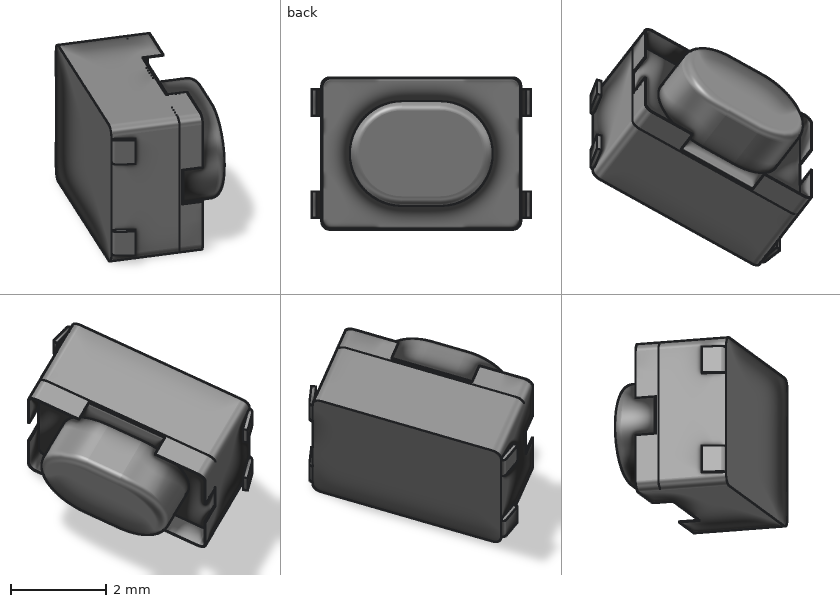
import cadquery as cq
import math

overall_width = 4.6
overall_depth = 2.7
housing_width = 4.2
housing_height = 3.2
housing_depth = 2.0
corner_radius = 0.2

button_width = 3.0
button_height = 2.2
button_rim_radius = 0.2

flange_thickness = 0.1
flange_edge_radius = 0.05
flange_rise = 0.05

wall_thickness = 0.025
notch_depth = 0.45
wide_notch_width = 1.8
side_notch_width = 0.8
notch_y = housing_depth - notch_depth

flange_top_y = notch_y + flange_rise
cavity_floor_y = flange_top_y - flange_thickness

terminal_thickness = 0.1
terminal_width = 0.555
terminal_spacing = 2.145
terminal_reach = 0.5
terminal_angle = math.radians(15)


def extrude_along_y(profile, start, end):
    """Extrude a closed XZ sketch from y = start to y = end."""
    return profile.extrude(start - end).translate((0, start, 0))


def rounded_block(width, height, radius, start, end):
    """Block along Y with its four long edges rounded."""
    outline = cq.Workplane("XZ").rect(width, height)
    return extrude_along_y(outline, start, end).edges("|Y").fillet(radius)


def cavity_block(start, end):
    """Block that fills the inside of the housing walls."""
    return rounded_block(
        housing_width - 2 * wall_thickness,
        housing_height - 2 * wall_thickness,
        corner_radius - wall_thickness,
        start,
        end,
    )


def notch_channel(width, height):
    """Channel across the housing that opens a notch in two opposite walls."""
    return extrude_along_y(cq.Workplane("XZ").rect(width, height), notch_y, housing_depth)


def make_housing():
    body = rounded_block(housing_width, housing_height, corner_radius, 0, housing_depth)
    body = body.cut(cavity_block(cavity_floor_y, housing_depth))
    body = body.cut(notch_channel(wide_notch_width, housing_height))
    return body.cut(notch_channel(housing_width, side_notch_width))


def make_button():
    flange = cavity_block(cavity_floor_y, flange_top_y).faces(">Y").edges().fillet(flange_edge_radius)
    stadium = cq.Workplane("XZ").slot2D(button_width, button_height)
    cap = extrude_along_y(stadium, flange_top_y, overall_depth)
    cap = cap.faces(">Y").edges().fillet(button_rim_radius)
    return flange.union(cap)


def make_terminal(side, center_z):
    """Strip bent around the foot of a side wall; side is -1 or 1 along X."""
    wall_x = housing_width / 2
    sine = math.sin(terminal_angle)
    cosine = math.cos(terminal_angle)
    inner_tip = (overall_width / 2 - terminal_thickness * cosine, terminal_reach)
    outer_tip = (overall_width / 2, terminal_reach - terminal_thickness * sine)
    bend_angle = math.pi / 4 + terminal_angle / 2
    bend_middle = (
        wall_x + terminal_thickness * math.cos(bend_angle),
        terminal_thickness * (1 - math.sin(bend_angle)),
    )
    bend_end = (wall_x + terminal_thickness * cosine, terminal_thickness * (1 - sine))
    strip = (
        cq.Workplane("XY")
        .moveTo(wall_x, 0)
        .threePointArc(bend_middle, bend_end)
        .lineTo(*outer_tip)
        .lineTo(*inner_tip)
        .lineTo(wall_x, terminal_thickness)
        .close()
        .extrude(terminal_width / 2, both=True)
    )
    if side < 0:
        strip = strip.mirror("YZ")
    return strip.translate((0, 0, center_z))


housing = make_housing()
button = make_button()
terminals = [
    make_terminal(side, level * terminal_spacing / 2)
    for side in (-1, 1)
    for level in (-1, 1)
]

result = cq.Compound.makeCompound(
    [housing.solids().val(), button.solids().val(), *[terminal.solids().val() for terminal in terminals]]
)